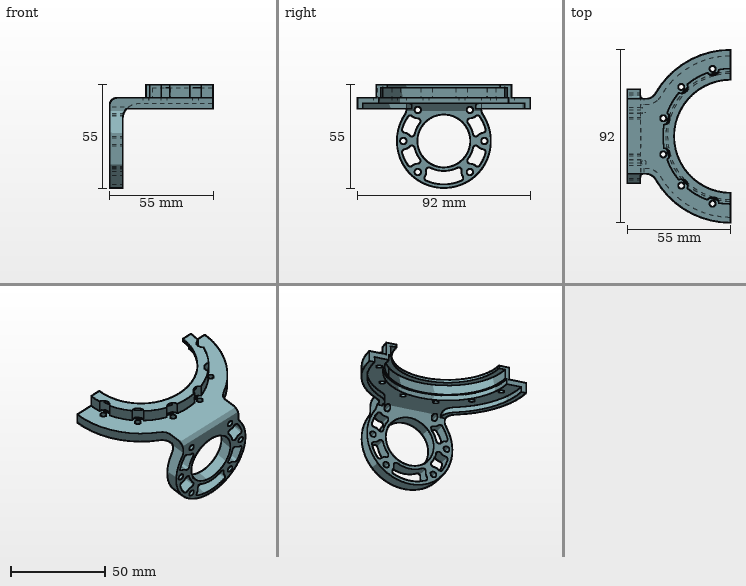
import cadquery as cq
import math

height = 55.0
length = 55.0

plate_radius = 46.0
plate_thickness = 6.0
plate_web = 3.0
rim_width = 3.0
ring_height = 7.0
ring_outer_radius = 36.0
lip_radius = 30.0
lip_thickness = 1.7
seat_radius = 33.6
bore_radius = 34.5
ring_hole_radius = 1.6
ring_hole_circle = 37.1
ring_pocket_radius = 3.4
ring_hole_angles = (105, 135, 165, 195, 225, 255)

neck_half_width = 20.0
neck_flare_radius = 6.0

flange_radius = 25.0
flange_thickness = 7.1
flange_flare_radius = 5.0
flange_bore_radius = 14.0
flange_hole_radius = 1.7
flange_hole_circle = 21.5
flange_hole_angles = (0, 50, 130, 180, 230, 310)
window_inner_radius = 16.0
window_outer_radius = 23.0
window_hole_clearance = 4.5
window_corner_radius = 1.5
outer_bend_radius = 4.05
inner_bend_radius = 8.0

plate_top = height - ring_height
plate_bottom = plate_top - plate_thickness
web_bottom = plate_top - plate_web
flange_center_z = flange_radius
bend_end = flange_thickness + inner_bend_radius


def polar(radius, angle):
    """Point at the given radius and angle in degrees."""
    return (radius * math.cos(math.radians(angle)), radius * math.sin(math.radians(angle)))


def disk(radius, bottom, top):
    """Cylinder about the half-ring axis."""
    return cq.Workplane("XY", origin=(length, 0, bottom)).circle(radius).extrude(top - bottom)


def flange_plane():
    """Sketch plane across the flange axis: local x is Y, local y is Z."""
    return cq.Workplane("YZ", origin=(0, 0, flange_center_z))


def flare_arc(corner_x, corner_y, radius, start, end):
    """Middle and end of a concave arc about a corner, between two angles in degrees."""
    points = [polar(radius, angle) for angle in ((start + end) / 2, end)]
    return [(corner_x + x, corner_y + y) for x, y in points]


def mirror_y(point):
    """Point with its second coordinate reversed."""
    return (point[0], -point[1])


def plate_block(start_x, inset, bottom, top):
    """C-shaped block with a neck from start_x, its edges set in from the plate outline."""
    neck_end = start_x - length
    radius = plate_radius - inset
    half_width = neck_half_width - inset
    flare_radius = neck_flare_radius + inset
    flare_y = half_width + flare_radius
    flare_x = -math.sqrt((radius + flare_radius) ** 2 - flare_y**2)
    toward_axis = math.degrees(math.atan2(-flare_y, -flare_x))
    middle, foot = flare_arc(flare_x, flare_y, flare_radius, -90, toward_axis)
    rim_middle = polar(radius, 120)
    return (
        cq.Workplane("XY", origin=(length, 0, bottom))
        .moveTo(neck_end, -half_width)
        .lineTo(flare_x, -half_width)
        .threePointArc(mirror_y(middle), mirror_y(foot))
        .threePointArc(mirror_y(rim_middle), (0, -radius))
        .lineTo(0, radius)
        .threePointArc(rim_middle, foot)
        .threePointArc(middle, (flare_x, half_width))
        .lineTo(neck_end, half_width)
        .close()
        .extrude(top - bottom)
    )


def make_plate():
    """C-shaped plate, hollowed underneath to leave a thin web with a rim along its outer edge."""
    plate = plate_block(0, 0, plate_bottom, plate_top)
    return plate.cut(plate_block(flange_thickness, rim_width, plate_bottom, web_bottom))


def make_ring():
    """Raised half ring on the plate, before it is bored."""
    ring = disk(ring_outer_radius, plate_top, height)
    keep = cq.Workplane("XY").box(length, 2 * plate_radius, height, centered=(False, True, False))
    return ring.intersect(keep)


def cut_ring_bores(body):
    """Stepped bore: thin lip on top, bearing seat in the ring, wider bore through the plate."""
    body = body.cut(disk(lip_radius, 0, height))
    body = body.cut(disk(seat_radius, 0, height - lip_thickness))
    return body.cut(disk(bore_radius, 0, plate_top))


def cut_ring_holes(body):
    """Screw holes through the plate, each with a head pocket down the outside of the ring."""
    points = [polar(ring_hole_circle, angle) for angle in ring_hole_angles]
    top = cq.Workplane("XY", origin=(length, 0, plate_top)).pushPoints(points)
    pockets = top.circle(ring_pocket_radius).extrude(ring_height)
    holes = top.circle(ring_hole_radius).extrude(-plate_thickness)
    return body.cut(pockets).cut(holes)


def make_flange(thickness):
    """Round flange outline whose sides flare up into the straight sides of the neck."""
    flare_y = neck_half_width + flange_flare_radius
    flare_z = math.sqrt((flange_radius + flange_flare_radius) ** 2 - flare_y**2)
    toward_axis = 180 + math.degrees(math.atan2(flare_z, flare_y))
    middle, foot = flare_arc(flare_y, flare_z, flange_flare_radius, 180, toward_axis)
    top = plate_top - flange_center_z
    return (
        flange_plane()
        .moveTo(neck_half_width, top)
        .lineTo(neck_half_width, flare_z)
        .threePointArc(middle, foot)
        .threePointArc((0, -flange_radius), (-foot[0], foot[1]))
        .threePointArc((-middle[0], middle[1]), (-neck_half_width, flare_z))
        .lineTo(-neck_half_width, top)
        .close()
        .extrude(thickness)
    )


def make_inner_bend():
    """Concave fillet between the inner face of the flange and the underside of the web."""
    arc_z = web_bottom - inner_bend_radius
    hollow = (
        cq.Workplane("XZ", origin=(bend_end, 0, arc_z))
        .circle(inner_bend_radius)
        .extrude(plate_radius, both=True)
    )
    band = cq.Workplane("XY", origin=(flange_thickness, 0, arc_z)).box(
        inner_bend_radius, 2 * plate_radius, inner_bend_radius, centered=(False, True, False)
    )
    return make_flange(bend_end).intersect(band).cut(hollow)


def cut_flange_holes(body):
    """Central bore and ring of screw holes through the flange."""
    points = [polar(flange_hole_circle, angle) for angle in flange_hole_angles]
    body = body.cut(flange_plane().circle(flange_bore_radius).extrude(bend_end))
    return body.cut(flange_plane().pushPoints(points).circle(flange_hole_radius).extrude(length))


def cut_windows(body):
    """Rounded windows between neighbouring flange holes, except under the plate."""
    points = [polar(flange_hole_circle, angle) for angle in flange_hole_angles]
    cores = (
        flange_plane()
        .circle(window_outer_radius - window_corner_radius)
        .circle(window_inner_radius + window_corner_radius)
        .extrude(flange_thickness)
        .cut(
            flange_plane()
            .pushPoints(points)
            .circle(window_hole_clearance + window_corner_radius)
            .extrude(flange_thickness)
        )
    )
    lower_cores = cores.solids().vals()
    lower_cores.remove(max(lower_cores, key=lambda core: core.Center().z))
    for core in lower_cores:
        outline = cq.Workplane(core).faces("<X").wires().val()
        grown = outline.offset2D(window_corner_radius)[0]
        window = cq.Solid.extrudeLinear(grown, [], cq.Vector(bend_end, 0, 0))
        body = body.cut(cq.Workplane(window))
    return body


bracket = make_plate().union(make_ring()).union(make_flange(flange_thickness))
outer_bend_edge = cq.selectors.NearestToPointSelector((0, 0, plate_top))
bracket = bracket.edges(outer_bend_edge).fillet(outer_bend_radius)
bracket = bracket.union(make_inner_bend())
bracket = cut_ring_bores(bracket)
bracket = cut_ring_holes(bracket)
bracket = cut_flange_holes(bracket)
result = cut_windows(bracket)